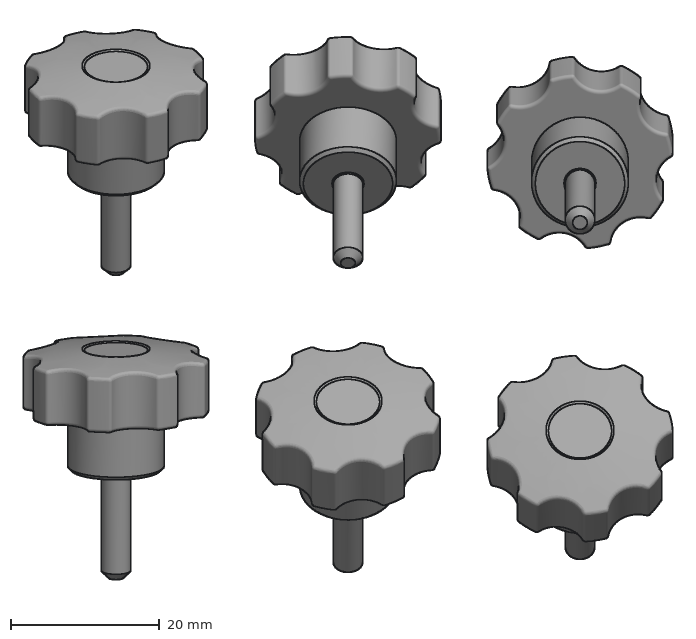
import cadquery as cq
import math

total_height = 31.65
stem_diameter = 4.0
stem_tip_chamfer = 1.0
stem_root_flare = 0.15
stem_flare_angle = 45
hub_diameter = 13.0
hub_chamfer = 0.5
hub_bottom = 15.0
grip_diameter = 25.0
grip_bottom = 23.02
grip_edge_top = 30.55
grip_fillet = 0.5

flute_count = 8
flute_radius = 4.02
flute_center_radius = 14.53

recess_top_diameter = 9.12
recess_floor_diameter = 8.5
recess_depth = 0.15

stem_radius = stem_diameter / 2
hub_radius = hub_diameter / 2
grip_radius = grip_diameter / 2
recess_top_radius = recess_top_diameter / 2

dome_drop = total_height - grip_edge_top
dome_center_z = (
    total_height**2 + recess_top_radius**2 - grip_edge_top**2 - grip_radius**2
) / (2 * dome_drop)
dome_radius = math.hypot(recess_top_radius, total_height - dome_center_z)
dome_apex = dome_center_z + dome_radius


def dome_height(radius):
    return dome_center_z + math.sqrt(dome_radius**2 - radius**2)


def make_grip():
    blank = (
        cq.Workplane("XZ")
        .moveTo(0, grip_bottom)
        .lineTo(grip_radius, grip_bottom)
        .lineTo(grip_radius, grip_edge_top)
        .threePointArc((grip_radius / 2, dome_height(grip_radius / 2)), (0, dome_apex))
        .close()
        .revolve(360, (0, 0), (0, 1))
    )
    flutes = (
        cq.Workplane("XY")
        .workplane(offset=grip_bottom)
        .polarArray(flute_center_radius, 0, 360, flute_count)
        .circle(flute_radius)
        .extrude(total_height - grip_bottom)
    )
    return blank.cut(flutes).edges().fillet(grip_fillet)


def make_hub():
    hub_height = grip_bottom - hub_bottom
    hub = cq.Workplane("XY").workplane(offset=hub_bottom).circle(hub_radius).extrude(hub_height)
    return hub.faces("<Z").chamfer(hub_chamfer)


def make_stem():
    stem = cq.Workplane("XY").circle(stem_radius).extrude(hub_bottom)
    flare = (
        cq.Workplane("XY")
        .workplane(offset=hub_bottom)
        .circle(stem_radius + stem_root_flare)
        .extrude(-stem_root_flare, taper=stem_flare_angle)
    )
    return stem.faces("<Z").chamfer(stem_tip_chamfer).union(flare)


def make_recess():
    floor_z = total_height - recess_depth
    return (
        cq.Workplane("XZ")
        .moveTo(0, floor_z)
        .lineTo(recess_floor_diameter / 2, floor_z)
        .lineTo(recess_top_radius, total_height)
        .lineTo(recess_top_radius, dome_apex)
        .lineTo(0, dome_apex)
        .close()
        .revolve(360, (0, 0), (0, 1))
    )


result = make_grip().union(make_hub()).union(make_stem()).cut(make_recess())